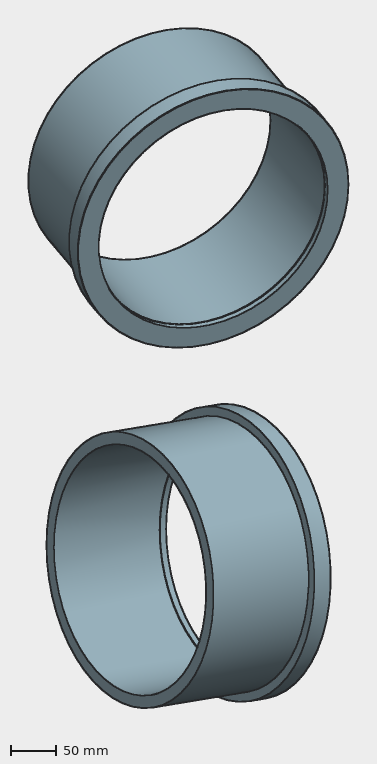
import cadquery as cq

length = 154.0
flange_thickness = 23.0
flange_diameter = 329.0
sleeve_diameter = 308.0
bore_diameter = 280.0
lip_diameter = 278.0
lip_length = 8.5
edge_chamfer = 0.5

open_end = -length / 2
flange_end = length / 2


def cylinder(diameter, start, end):
    """Solid cylinder along X between two positions."""
    return (
        cq.Workplane("YZ", origin=(start, 0, 0))
        .circle(diameter / 2)
        .extrude(end - start)
    )


sleeve = cylinder(sleeve_diameter, open_end, flange_end)
flange = cylinder(flange_diameter, flange_end - flange_thickness, flange_end)
flange = flange.faces(">X").edges().chamfer(edge_chamfer)

bore = cylinder(bore_diameter, open_end, flange_end - lip_length)
lip_opening = cylinder(lip_diameter, open_end, flange_end)

result = sleeve.union(flange).cut(bore).cut(lip_opening)